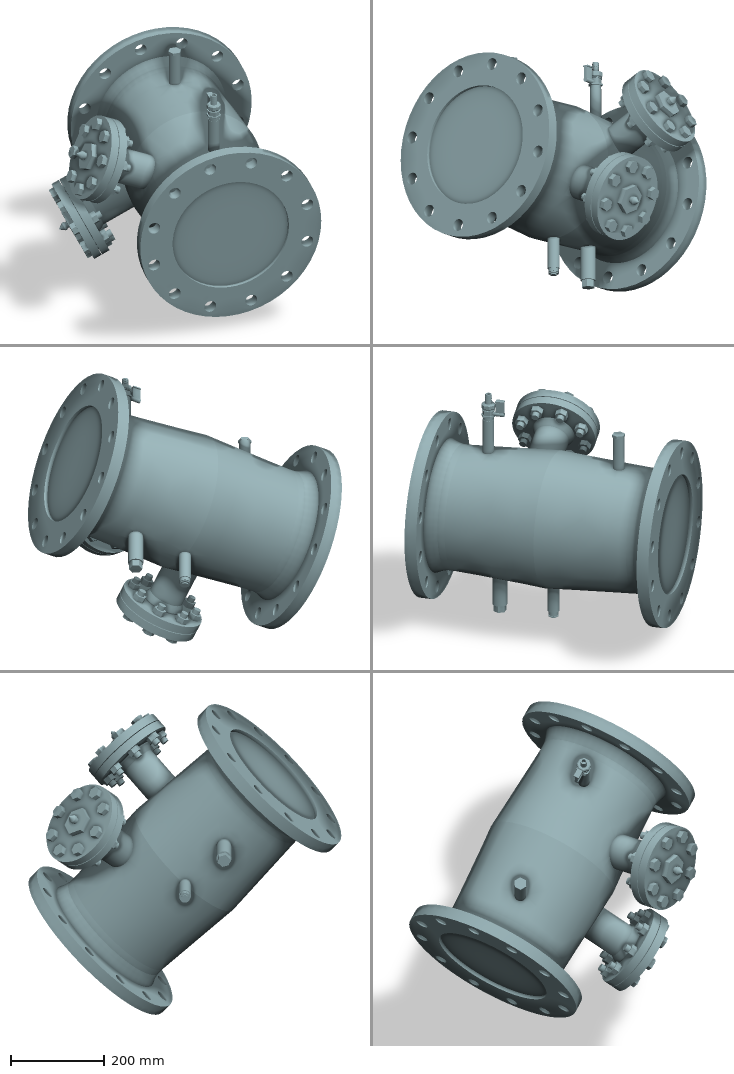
import cadquery as cq
import math

length = 546.0
flange_dia = 405.0
flange_thick = 26.0
flange_hole_dia = 26.0
flange_bolt_circle = 355.0
flange_hole_count = 12
bore_dia = 260.5
bore_depth = 8.0
pipe_dia = 273.0
belly_dia = 298.5
neck_base_dia = 291.5
neck_curve_length = 28.0
neck_curve_ratio = 0.35
neck_straight = 16.0

branch_offset = 65.0
branch_tilt = 25.0
branch_dia = 76.0
branch_hub_dia = 92.0
branch_hub_length = 15.0
branch_hub_rim = 2.0
branch_flange_dia = 185.0
branch_flange_thick = 18.0
gasket_dia = 127.0
gasket_thick = 1.5
branch_face = 278.5
branch_bolt_circle = 144.5
branch_bolt_count = 8

bolt_dia = 16.0
bolt_hex = 24.0
bolt_head_height = 11.5
bolt_nut_height = 12.5
bolt_tip_length = 10.5
plug_hex = 55.0
plug_height = 12.0
stud_dia = 15.0
stud_length = 5.5
stud_head_dia = 18.0
stud_head_length = 5.0
stud_tip_dia = 2.0
stud_tip_length = 11.0

stub_offset = 146.0
stub_dia = 24.5
stub_hex = 24.5
stub_top = 214.0
stub_cap_height = 6.0
drain_end = -215.0
drain_dia = 32.0
drain_offset = 120.0
drain_plug_height = 16.0
sensor_dia = 26.0
sensor_steps = ((22.5, 8.0), (18.0, 1.5), (22.5, 2.0), (15.0, 3.0))

valve_seat = 217.5
valve_neck_dia = 23.5
valve_flange_bottom = 225.0
valve_flange_height = 4.0
valve_flange_hex = 27.5
valve_body_hex = 22.5
valve_body_top = 243.0
valve_collar_bottom = 239.5
valve_collar_height = 1.0
valve_collar_dia = 28.5
valve_nut_size = 28.5
valve_nut_chamfer = 2.0
valve_nut_top = 255.0
barb_dia = 15.0
barb_root_dia = 13.5
barb_bore_dia = 9.0
barb_bore_depth = 16.5
barb_count = 4
barb_top = 276.5
stem_dia = 10.0
stem_height = 231.5
handle_reach = 35.5
handle_length = 18.5
handle_plate_width = 6.0
handle_top = 263.0
handle_rim_width = 12.0
handle_rim_height = 3.0


def hexagon(plane, across_flats, height, turn=0.0):
    """Hexagonal prism rising from a plane; vertices lie on the plane's x axis before turning."""
    prism = cq.Workplane(plane).polygon(6, across_flats / math.cos(math.pi / 6)).extrude(height)
    return prism.rotate(plane.origin, plane.origin + plane.zDir, turn)


def rod(x, dia, bottom, top):
    """Vertical cylinder on the body's mid-plane."""
    return cq.Workplane("XY", origin=(x, 0, bottom)).circle(dia / 2).extrude(top - bottom)


def level(x, z):
    return cq.Plane(origin=(x, 0, z), xDir=(1, 0, 0), normal=(0, 0, 1))


def half_body():
    """Flange, concave neck, straight pipe and cone from the +X end to the middle."""
    end = length / 2
    flange_back = end - flange_thick
    neck_end = flange_back - neck_curve_length
    cone_end = neck_end - neck_straight
    pipe_r = pipe_dia / 2
    neck_middle = (flange_back - neck_curve_length / 2, pipe_r + (neck_base_dia - pipe_dia) / 2 * neck_curve_ratio)
    profile = (
        cq.Workplane("XY")
        .moveTo(0, 0)
        .lineTo(0, belly_dia / 2)
        .lineTo(cone_end, pipe_r)
        .lineTo(neck_end, pipe_r)
        .threePointArc(neck_middle, (flange_back, neck_base_dia / 2))
        .lineTo(flange_back, flange_dia / 2)
        .lineTo(end, flange_dia / 2)
        .lineTo(end, 0)
        .close()
    )
    body = profile.revolve(360, (0, 0, 0), (1, 0, 0))
    face = cq.Workplane("YZ", origin=(end, 0, 0))
    recess = face.circle(bore_dia / 2).extrude(-bore_depth)
    holes = (
        face.polarArray(flange_bolt_circle / 2, 180 / flange_hole_count, 360, flange_hole_count)
        .circle(flange_hole_dia / 2)
        .extrude(-flange_thick)
    )
    return body.cut(recess).cut(holes)


def branch(side):
    """Radial branch with a bolted flange pair and a central plug; side is +1 (upper) or -1 (lower)."""
    x = side * branch_offset
    angle = side * math.radians(branch_tilt)
    axis = cq.Vector(0, -math.cos(angle), math.sin(angle))

    def station(distance):
        return cq.Plane(origin=cq.Vector(x, 0, 0) + axis * distance, xDir=(1, 0, 0), normal=axis)

    cover_back = branch_face - branch_flange_thick
    flange_front = cover_back - gasket_thick
    flange_back = flange_front - branch_flange_thick
    hub_end = flange_back - branch_hub_rim
    hub_start = hub_end - branch_hub_length
    plug_top = branch_face + plug_height

    def disc(distance, dia, thick):
        return cq.Workplane(station(distance)).circle(dia / 2).extrude(thick)

    part = disc(0, branch_dia, flange_back)
    hub = (
        cq.Workplane(station(hub_start))
        .circle(branch_dia / 2)
        .workplane(offset=branch_hub_length)
        .circle(branch_hub_dia / 2)
        .loft()
    )
    part = part.union(hub)
    part = part.union(disc(hub_end, branch_hub_dia, branch_hub_rim))
    part = part.union(disc(flange_back, branch_flange_dia, branch_flange_thick))
    part = part.union(disc(flange_front, gasket_dia, gasket_thick))
    part = part.union(disc(cover_back, branch_flange_dia, branch_flange_thick))
    part = part.union(hexagon(station(branch_face), plug_hex, plug_height, 90))
    part = part.union(disc(plug_top, stud_dia, stud_length))
    head_base = plug_top + stud_length
    part = part.union(disc(head_base, stud_head_dia, stud_head_length))
    stud_tip = cq.Solid.makeCone(
        stud_head_dia / 2,
        stud_tip_dia / 2,
        stud_tip_length,
        station(head_base + stud_head_length).origin,
        axis,
    )
    part = part.union(cq.Workplane(stud_tip))

    nut_back = flange_back - bolt_nut_height
    bolt_tip = nut_back - bolt_tip_length
    for i in range(branch_bolt_count):
        hex_turn = 360 * i / branch_bolt_count
        place = math.radians(hex_turn + side * 180 / branch_bolt_count)
        u = branch_bolt_circle / 2 * math.cos(place)
        v = branch_bolt_circle / 2 * math.sin(place)

        def bolt_plane(distance):
            base = station(distance)
            return cq.Plane(origin=base.toWorldCoords((u, v, 0)), xDir=(1, 0, 0), normal=axis)

        shank = cq.Workplane(bolt_plane(bolt_tip)).circle(bolt_dia / 2).extrude(branch_face - bolt_tip)
        part = part.union(shank)
        part = part.union(hexagon(bolt_plane(nut_back), bolt_hex, bolt_nut_height, hex_turn))
        part = part.union(hexagon(bolt_plane(branch_face), bolt_hex, bolt_head_height, hex_turn))
    return part


def capped_stub():
    cap = hexagon(level(-stub_offset, stub_top), stub_hex, stub_cap_height, 90)
    return rod(-stub_offset, stub_dia, 0, stub_top).union(cap)


def drain():
    plug = hexagon(level(drain_offset, drain_end - drain_plug_height), stub_hex, drain_plug_height, 90)
    return rod(drain_offset, drain_dia, drain_end, 0).union(plug)


def sensor_port():
    """Pipe in the middle of the underside, closed by a grooved, stepped insert."""
    port = rod(0, sensor_dia, drain_end, 0)
    top = drain_end
    for dia, height in sensor_steps:
        port = port.union(rod(0, dia, top - height, top))
        top -= height
    return port


def valve():
    x = stub_offset
    part = rod(x, stub_dia, 0, valve_seat)
    part = part.union(rod(x, valve_neck_dia, valve_seat, valve_flange_bottom))
    part = part.union(hexagon(level(x, valve_flange_bottom), valve_flange_hex, valve_flange_height))
    body_height = valve_body_top - valve_flange_bottom
    part = part.union(hexagon(level(x, valve_flange_bottom), valve_body_hex, body_height))
    collar_top = valve_collar_bottom + valve_collar_height
    part = part.union(rod(x, valve_collar_dia, valve_collar_bottom, collar_top))
    nut = (
        cq.Workplane(level(x, valve_body_top))
        .polygon(8, valve_nut_size, circumscribed=True)
        .extrude(valve_nut_top - valve_body_top)
        .faces("|Z")
        .chamfer(valve_nut_chamfer)
    )
    part = part.union(nut)

    barb_pitch = (barb_top - valve_nut_top) / barb_count
    for i in range(barb_count):
        base = cq.Vector(x, 0, valve_nut_top + i * barb_pitch)
        barb = cq.Solid.makeCone(barb_dia / 2, barb_root_dia / 2, barb_pitch, base, cq.Vector(0, 0, 1))
        part = part.union(cq.Workplane(barb))
    part = part.cut(rod(x, barb_bore_dia, barb_top - barb_bore_depth, barb_top))

    handle_end = x - handle_reach
    stem = cq.Workplane("YZ", origin=(handle_end, 0, stem_height)).circle(stem_dia / 2).extrude(handle_reach)

    def handle_bar(width, bottom):
        bar = cq.Workplane("XY", origin=(handle_end, 0, bottom))
        return bar.box(handle_length, width, handle_top - bottom, centered=(False, True, False))

    plate = handle_bar(handle_plate_width, stem_height)
    rim = handle_bar(handle_rim_width, handle_top - handle_rim_height)
    return part.union(stem).union(plate).union(rim)


half = half_body()
result = half.union(half.mirror("YZ"))
for feature in (
    branch(1),
    branch(-1),
    capped_stub(),
    drain(),
    sensor_port(),
    valve(),
):
    result = result.union(feature)